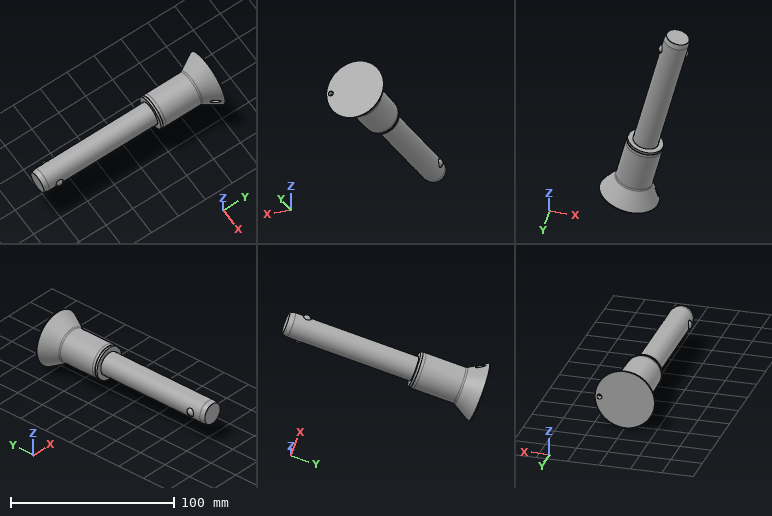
import cadquery as cq

total_length = 127.1
pin_radius = 8.0
tip_radius = 7.2
tip_length = 3.4

rim_diameter = 38.0
rim_thickness = 0.8
head_length = 12.5
head_neck_radius = 12.1

sleeve_radius = 11.8
sleeve_shoulder_length = 1.1
sleeve_end = 43.1
lip_radius = 11.5
lip_length = 1.5
taper_end_radius = 11.7
taper_length = 1.9

ball_radius = 3.0
ball_reach = 9.5
ball_from_tip = 11.0
lanyard_hole_diameter = 3.0
lanyard_hole_offset = 16.0

rim_radius = rim_diameter / 2
back_y = total_length / 2
tip_y = -back_y
sleeve_end_y = back_y - sleeve_end
lip_start_y = sleeve_end_y + lip_length
taper_start_y = lip_start_y + taper_length
neck_y = back_y - head_length


def turned_body():
    """Pin, sleeve and flared button revolved about the Y axis."""
    profile = (
        cq.Workplane("XY")
        .moveTo(0, tip_y)
        .lineTo(tip_radius, tip_y)
        .lineTo(pin_radius, tip_y + tip_length)
        .lineTo(pin_radius, sleeve_end_y)
        .lineTo(lip_radius, sleeve_end_y)
        .lineTo(lip_radius, lip_start_y)
        .lineTo(taper_end_radius, lip_start_y)
        .lineTo(sleeve_radius, taper_start_y)
        .lineTo(sleeve_radius, neck_y - sleeve_shoulder_length)
        .lineTo(head_neck_radius, neck_y)
        .lineTo(rim_radius, back_y - rim_thickness)
        .lineTo(rim_radius, back_y)
        .lineTo(0, back_y)
        .close()
    )
    return profile.revolve(360, (0, 0, 0), (0, 1, 0))


def locking_ball(side):
    """Ball protruding from the pin on the +X (1) or -X (-1) side."""
    center_x = side * (ball_reach - ball_radius)
    return cq.Workplane("XY").sphere(ball_radius).translate((center_x, tip_y + ball_from_tip, 0))


def lanyard_hole():
    """Cutter through the flared button, parallel to the pin."""
    return (
        cq.Workplane("XZ", origin=(lanyard_hole_offset, back_y, 0))
        .circle(lanyard_hole_diameter / 2)
        .extrude(head_length)
    )


result = turned_body()
for side in (-1, 1):
    result = result.union(locking_ball(side))
result = result.cut(lanyard_hole())